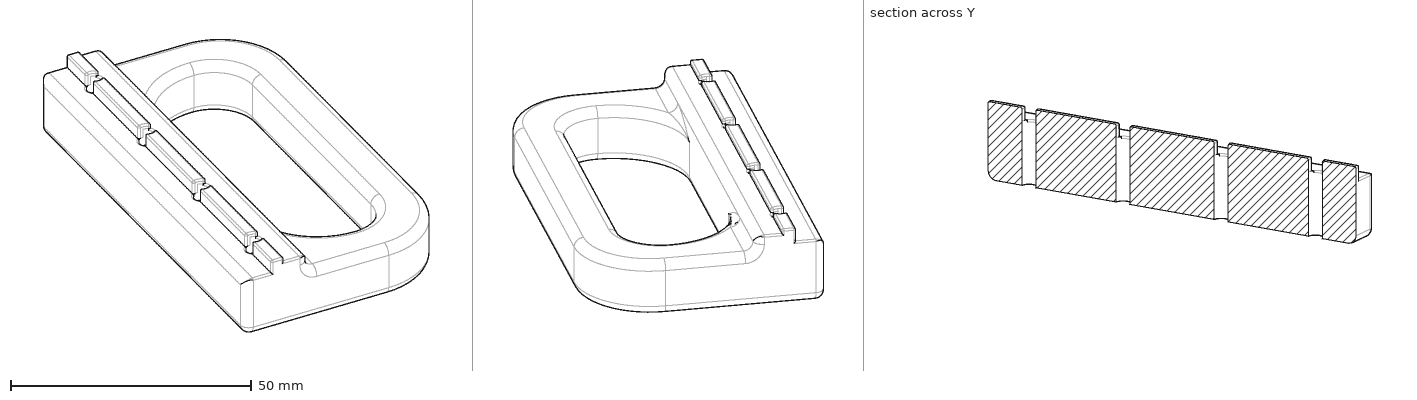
import cadquery as cq
import math

LENGTH = 90.0
DEPTH = 50.0
HEIGHT = 17.0
HALF_LENGTH = LENGTH / 2

EDGE_RADIUS = 2.0
SMALL_RADIUS = 0.4

TOLERANCE = 0.05

GRIP_THICKNESS = 12.0
REAR_CORNER_RADIUS = 16.0
OPENING_LENGTH = 70.0
OPENING_FRONT = 15.0
OPENING_REAR = 40.0
OPENING_REAR_RADIUS = 9.0
OPENING_FRONT_RADIUS = OPENING_REAR - OPENING_FRONT - OPENING_REAR_RADIUS

BAR_DEPTH = OPENING_FRONT
LEDGE_HEIGHT = 14.0
PLATFORM_HEIGHT = 16.0
LIP_FRONT = 6.3
LIP_REAR = 9.2
LIP_ROOT = LEDGE_HEIGHT - SMALL_RADIUS

HOLE_DIAMETER = 3.3
HOLE_RADIUS = HOLE_DIAMETER / 2
HOLE_Y = 7.5
HOLE_XS = (-35.0, -12.0, 12.0, 35.0)


def rounded_grip():
    """Grip plate with its finger opening; the opening's top rim is rounded."""
    half = OPENING_LENGTH / 2
    rear_x = half - OPENING_REAR_RADIUS
    front_x = half - OPENING_FRONT_RADIUS
    middle_y = OPENING_REAR - OPENING_REAR_RADIUS
    opening = (
        cq.Workplane("XY")
        .moveTo(-front_x, OPENING_FRONT)
        .lineTo(front_x, OPENING_FRONT)
        .radiusArc((half, middle_y), -OPENING_FRONT_RADIUS)
        .radiusArc((rear_x, OPENING_REAR), -OPENING_REAR_RADIUS)
        .lineTo(-rear_x, OPENING_REAR)
        .radiusArc((-half, middle_y), -OPENING_REAR_RADIUS)
        .radiusArc((-front_x, OPENING_FRONT), -OPENING_FRONT_RADIUS)
        .close()
        .extrude(GRIP_THICKNESS)
    )
    plate = cq.Workplane("XY").box(LENGTH, DEPTH, GRIP_THICKNESS, centered=(True, False, False))
    plate = plate.edges("|Z and <Y").fillet(EDGE_RADIUS)
    plate = plate.edges("|Z and >Y").fillet(REAR_CORNER_RADIUS)
    plate = plate.cut(opening)
    rim = cq.selectors.BoxSelector(
        (-half - TOLERANCE, OPENING_FRONT - TOLERANCE, GRIP_THICKNESS - TOLERANCE),
        (half + TOLERANCE, OPENING_REAR + TOLERANCE, GRIP_THICKNESS + TOLERANCE),
    )
    return plate.edges(rim).fillet(EDGE_RADIUS)


def add_bar_block(grip):
    """Raise the full-height bar at the front, blended into the grip by a concave round."""
    bar = cq.Workplane("XY").box(LENGTH, BAR_DEPTH, HEIGHT, centered=(True, False, False))
    bar = bar.edges("|Z and <Y").fillet(EDGE_RADIUS)
    joint = cq.selectors.BoxSelector(
        (-HALF_LENGTH, BAR_DEPTH - TOLERANCE, GRIP_THICKNESS - EDGE_RADIUS),
        (HALF_LENGTH, BAR_DEPTH + TOLERANCE, GRIP_THICKNESS + TOLERANCE),
    )
    return grip.union(bar).edges(joint).fillet(EDGE_RADIUS)


def round_outer_edges(body):
    """Round the rim of the grip, the ends of the concave blend, the bar's rear corners and the bottom."""
    rear_corner_y = DEPTH - REAR_CORNER_RADIUS

    def on_rim(edge):
        box = edge.BoundingBox()
        if box.ymin < BAR_DEPTH - TOLERANCE or box.zmin < GRIP_THICKNESS - TOLERANCE:
            return False
        outermost_x = min(abs(box.xmin), abs(box.xmax))
        on_end = outermost_x > HALF_LENGTH - TOLERANCE
        on_rear = box.ymax > DEPTH - TOLERANCE and box.ymin > rear_corner_y - TOLERANCE
        return on_end or on_rear

    rim = [edge for edge in body.edges().vals() if on_rim(edge)]
    body = body.newObject(rim).fillet(EDGE_RADIUS)
    return body.faces("<Z").edges().fillet(EDGE_RADIUS)


def step_envelope():
    """Space that the stepped bar and the grip may fill; the ends of the steps are rounded.

    The step from ledge to platform lies at the hole axes, where the lip covers it.
    """
    envelope = (
        cq.Workplane("YZ")
        .lineTo(0, LEDGE_HEIGHT - EDGE_RADIUS)
        .radiusArc((EDGE_RADIUS, LEDGE_HEIGHT), EDGE_RADIUS)
        .lineTo(HOLE_Y, LEDGE_HEIGHT)
        .lineTo(HOLE_Y, PLATFORM_HEIGHT)
        .lineTo(BAR_DEPTH - EDGE_RADIUS, PLATFORM_HEIGHT)
        .radiusArc((BAR_DEPTH, PLATFORM_HEIGHT - EDGE_RADIUS), EDGE_RADIUS)
        .lineTo(DEPTH, PLATFORM_HEIGHT - EDGE_RADIUS)
        .lineTo(DEPTH, 0)
        .close()
        .extrude(HALF_LENGTH, both=True)
    )
    step_ends = cq.selectors.BoxSelector(
        (-LENGTH, 0, LEDGE_HEIGHT - EDGE_RADIUS), (LENGTH, BAR_DEPTH, HEIGHT)
    )
    return envelope.edges(step_ends).edges("<X or >X").fillet(SMALL_RADIUS)


def rim_flare(rim_height):
    """Cutter that rounds the rim of a hole at the given height, for a hole at X = 0."""
    flare_radius = HOLE_RADIUS + SMALL_RADIUS
    return (
        cq.Workplane("XZ")
        .moveTo(0, rim_height - SMALL_RADIUS)
        .lineTo(HOLE_RADIUS, rim_height - SMALL_RADIUS)
        .radiusArc((flare_radius, rim_height), SMALL_RADIUS)
        .lineTo(0, rim_height)
        .close()
        .revolve(360, (0, 0, 0), (0, 1, 0))
        .translate((0, HOLE_Y, 0))
    )


def cut_holes(body):
    """Drill the screw holes and round their rims in front of and behind the lip."""
    drill = cq.Workplane("XY").center(0, HOLE_Y).circle(HOLE_RADIUS).extrude(HEIGHT)
    before_lip = cq.Workplane("XY").box(LENGTH, LIP_FRONT, HEIGHT, centered=(True, False, False))
    wall_rear_x, _ = hole_side_end(0, 1)[3]
    gap_width = 2 * wall_rear_x
    lip_gap = cq.Workplane("XY").box(gap_width, BAR_DEPTH, HEIGHT, centered=(True, False, False))
    lip_gap = lip_gap.translate((0, HOLE_Y, 0))
    ledge_flare = rim_flare(LEDGE_HEIGHT).intersect(before_lip)
    platform_flare = rim_flare(PLATFORM_HEIGHT).intersect(lip_gap)
    for x in HOLE_XS:
        for cutter in (drill, ledge_flare, platform_flare):
            body = body.cut(cutter.translate((x, 0, 0)))
    return body


def hole_side_end(hole_x, side):
    """Points where a lip segment wraps around a hole: its two rounded horns and the hole wall.

    The segment lies on the given side (+1 or -1) of the hole. The points run from front to rear.
    """
    reach = HOLE_RADIUS + SMALL_RADIUS
    front_offset = LIP_FRONT + SMALL_RADIUS - HOLE_Y
    rear_offset = LIP_REAR - SMALL_RADIUS - HOLE_Y
    front_x = math.sqrt(reach**2 - front_offset**2)
    rear_x = math.sqrt(reach**2 - rear_offset**2)
    shrink = HOLE_RADIUS / reach
    return [
        (hole_x + side * front_x, LIP_FRONT),
        (hole_x + side * front_x * shrink, HOLE_Y + front_offset * shrink),
        (hole_x + side * HOLE_RADIUS, HOLE_Y),
        (hole_x + side * rear_x * shrink, HOLE_Y + rear_offset * shrink),
        (hole_x + side * rear_x, LIP_REAR),
    ]


def trace_end(outline, points):
    """Continue an outline around a hole-side end: horn, hole wall, horn."""
    outline = outline.radiusArc(points[1], -SMALL_RADIUS)
    outline = outline.threePointArc(points[2], points[3])
    return outline.radiusArc(points[4], -SMALL_RADIUS)


def finish_segment(outline):
    """Raise a lip segment from inside the bar and round its top edges."""
    return outline.close().extrude(HEIGHT - LIP_ROOT).faces(">Z").edges().fillet(SMALL_RADIUS)


def inner_lip_segment(left_hole, right_hole):
    """Lip segment between two neighbouring holes."""
    left_end = hole_side_end(left_hole, 1)[::-1]
    right_end = hole_side_end(right_hole, -1)
    outline = cq.Workplane("XY", origin=(0, 0, LIP_ROOT)).moveTo(*right_end[0])
    outline = trace_end(outline, right_end).lineTo(*left_end[0])
    return finish_segment(trace_end(outline, left_end))


def outer_lip_segment(hole):
    """Lip segment from the rightmost hole to the right end of the bar."""
    left_end = hole_side_end(hole, 1)[::-1]
    straight_end = HALF_LENGTH - SMALL_RADIUS
    outline = (
        cq.Workplane("XY", origin=(0, 0, LIP_ROOT))
        .moveTo(straight_end, LIP_FRONT)
        .radiusArc((HALF_LENGTH, LIP_FRONT + SMALL_RADIUS), -SMALL_RADIUS)
        .lineTo(HALF_LENGTH, LIP_REAR - SMALL_RADIUS)
        .radiusArc((straight_end, LIP_REAR), -SMALL_RADIUS)
        .lineTo(*left_end[0])
    )
    return finish_segment(trace_end(outline, left_end))


def add_lip(body):
    """Stand the lip on the step, interrupted at every hole."""
    for left_hole, right_hole in zip(HOLE_XS, HOLE_XS[1:]):
        body = body.union(inner_lip_segment(left_hole, right_hole))
    right_segment = outer_lip_segment(HOLE_XS[-1])
    return body.union(right_segment).union(right_segment.mirror("YZ"))


result = add_bar_block(rounded_grip())
result = round_outer_edges(result)
result = result.intersect(step_envelope())
result = add_lip(result)
result = cut_holes(result)